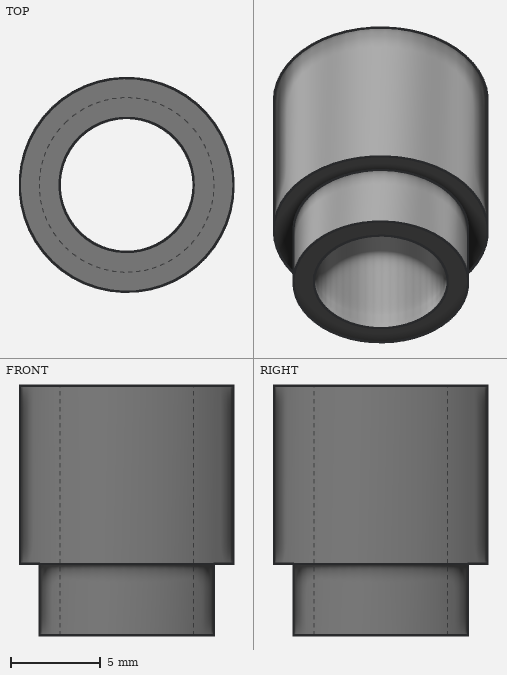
import cadquery as cq

body_diameter = 12.0
spigot_diameter = 9.8
bore_diameter = 7.5
body_length = 10.0
spigot_length = 4.0


def make_sleeve():
    """Narrow spigot below a wider body, both on the Z axis, bored right through."""
    spigot = cq.Workplane("XY").circle(spigot_diameter / 2).extrude(spigot_length)
    stepped = spigot.faces(">Z").workplane().circle(body_diameter / 2).extrude(body_length)
    return stepped.faces(">Z").workplane().circle(bore_diameter / 2).cutThruAll()


result = make_sleeve()